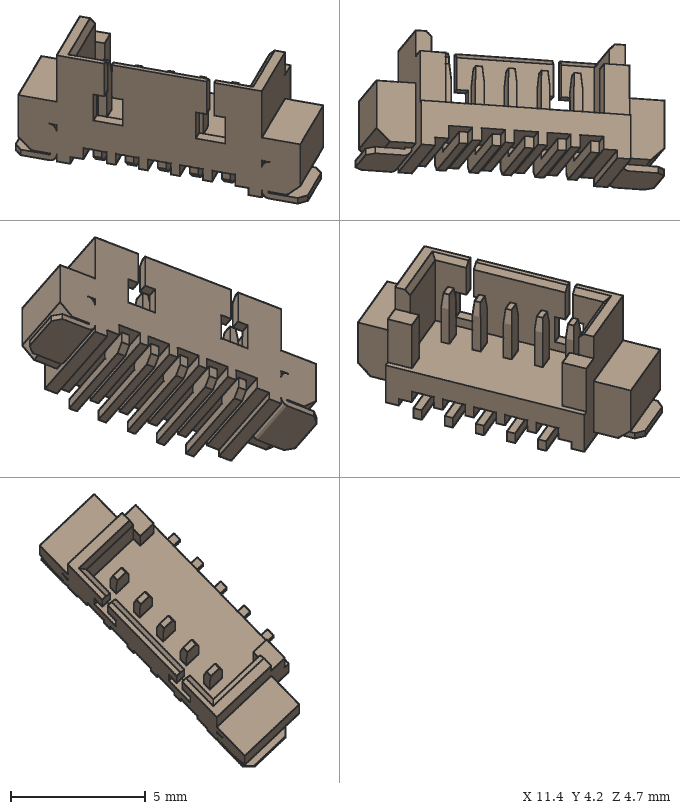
import cadquery as cq

height = 4.7
contact_pitch = 1.25
contact_count = 5
underside = 0.31

core_length = 8.0
core_depth = 3.7
floor_height = 1.71
post_length = 0.97
post_back = 3.5
post_height = 3.69
foot_length = 0.52

side_wall_depth = 2.8
side_wall = 0.6
front_wall = 0.4
lead_in = 0.2

wing_span = 11.0
wing_height = 2.65
wing_chamfer_x = 0.51
wing_chamfer_z = 0.49

latch_offset = 2.0
latch_slot = 0.3
window_length = 1.14
window_bottom = 2.1
window_top = 3.25

notch_length = 0.9
notch_top = 0.8

contact_width = 0.33
contact_front = 0.31
contact_bevel = underside
contact_back = 4.2
tail_thickness = 0.45
pin_front = 0.91
pin_depth = 0.64
pin_top = 3.9
tip_height = 0.6
tip_inset_x = 0.05
tip_inset_y = 0.1

clip_span = 11.4
clip_depth = 2.2
clip_sheet = 0.25
clip_top = 1.62
clip_arm_reach = 0.8
clip_outer_radius = 0.3
clip_inner_radius = 0.06
clip_corner_cut = 0.3
selector_margin = 0.01


def box(x0, x1, y0, y1, z0, z1):
    """Axis-aligned block between two opposite corners."""
    return cq.Workplane("XY").box(x1 - x0, y1 - y0, z1 - z0, centered=False).translate((x0, y0, z0))


def both_ends(shape):
    """A shape together with its mirror image across X = 0."""
    return shape.union(shape.mirror("YZ"))


half_core = core_length / 2
contact_places = [(i - (contact_count - 1) / 2) * contact_pitch for i in range(contact_count)]


def make_wing():
    """Left wing with its lower outer edge bevelled."""
    outer = -wing_span / 2
    return (
        cq.Workplane("XZ")
        .moveTo(-half_core, underside)
        .lineTo(outer + wing_chamfer_x, underside)
        .lineTo(outer, underside + wing_chamfer_z)
        .lineTo(outer, wing_height)
        .lineTo(-half_core, wing_height)
        .close()
        .extrude(-side_wall_depth)
    )


def make_cavity():
    """Mating space above the floor, open at the back, with a flared mouth."""
    half_length = half_core - side_wall
    cavity = box(-half_length, half_length, front_wall, core_depth, floor_height, height)
    mouth_depth = side_wall_depth - front_wall
    mouth = (
        cq.Workplane("XY")
        .workplane(offset=height)
        .center(0, front_wall + mouth_depth / 2)
        .rect(2 * (half_length + lead_in), mouth_depth + 2 * lead_in)
        .workplane(offset=-lead_in)
        .rect(2 * half_length, mouth_depth)
        .loft(ruled=True)
    )
    return cavity.union(mouth)


def make_housing():
    """Plastic body with its cavity, posts, wings, latch openings and comb."""
    base = box(-half_core, half_core, 0, core_depth, 0, floor_height)
    walls = box(-half_core, half_core, 0, side_wall_depth, floor_height, height)
    housing = base.union(walls).cut(make_cavity())

    post = box(-half_core, post_length - half_core, side_wall_depth, post_back, floor_height, post_height)
    housing = housing.union(both_ends(post)).union(both_ends(make_wing()))

    foot_inner = half_core - foot_length
    housing = housing.cut(box(-foot_inner, foot_inner, 0, core_depth, 0, underside))
    for x in contact_places:
        housing = housing.cut(box(x - notch_length / 2, x + notch_length / 2, 0, core_depth, 0, notch_top))

    slot = box(
        -latch_offset - latch_slot / 2, -latch_offset + latch_slot / 2, 0, front_wall, window_top, height
    )
    window = box(
        -latch_offset - window_length / 2, -latch_offset + window_length / 2,
        0, front_wall, window_bottom, window_top,
    )
    return housing.cut(both_ends(slot.union(window)))


def make_contact(x):
    """Upright tapered pin joined to a tail that leaves through the back."""
    tail = (
        cq.Workplane("YZ")
        .moveTo(contact_front + contact_bevel, 0)
        .lineTo(contact_back, 0)
        .lineTo(contact_back, tail_thickness)
        .lineTo(pin_front + pin_depth, tail_thickness)
        .lineTo(pin_front + pin_depth, notch_top)
        .lineTo(contact_front, notch_top)
        .lineTo(contact_front, contact_bevel)
        .close()
        .extrude(contact_width / 2, both=True)
    )
    shank_top = pin_top - tip_height
    half_width = contact_width / 2
    shank = box(-half_width, half_width, pin_front, pin_front + pin_depth, notch_top, shank_top)
    tip = (
        shank.faces(">Z")
        .workplane(centerOption="CenterOfBoundBox")
        .rect(contact_width, pin_depth)
        .workplane(offset=tip_height)
        .rect(contact_width - 2 * tip_inset_x, pin_depth - 2 * tip_inset_y)
        .loft(ruled=True, combine=False)
    )
    return tail.union(shank).union(tip).translate((x, 0, 0))


def make_clip():
    """Left solder clip: a bent sheet lying against the core, foot pointing outwards."""
    arm_end = -half_core - clip_arm_reach
    foot_end = -clip_span / 2
    leg_outer = -half_core - clip_sheet
    sheet = (
        cq.Workplane("XZ")
        .moveTo(foot_end, 0)
        .lineTo(-half_core, 0)
        .lineTo(-half_core, clip_top)
        .lineTo(arm_end, clip_top)
        .lineTo(arm_end, clip_top - clip_sheet)
        .lineTo(leg_outer, clip_top - clip_sheet)
        .lineTo(leg_outer, clip_sheet)
        .lineTo(foot_end, clip_sheet)
        .close()
        .extrude(-clip_depth)
    )
    sheet = sheet.edges("|Y and >X").fillet(clip_outer_radius)
    inner_corners = cq.selectors.BoxSelector(
        (leg_outer - selector_margin, 0, 0), (leg_outer + selector_margin, clip_depth, clip_top)
    )
    sheet = sheet.edges("|Y").edges(inner_corners).fillet(clip_inner_radius)
    return sheet.edges("|Z and <X").chamfer(clip_corner_cut)


clip_pocket = box(
    -half_core - clip_arm_reach, -half_core, 0, clip_depth, clip_top - clip_sheet, clip_top
)

result = make_housing().cut(both_ends(clip_pocket)).union(both_ends(make_clip()))
for place in contact_places:
    result = result.union(make_contact(place))